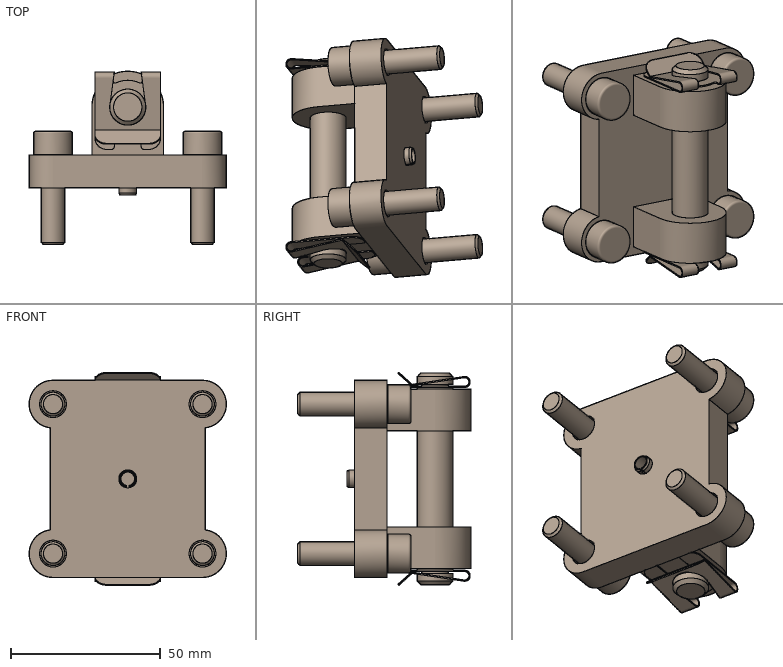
import cadquery as cq
import math

overall_height = 71.15
plate_size = 65.95
plate_thickness = 10.95
screw_offset = 25.0
boss_radius = plate_size / 2 - screw_offset
side_step = 1.0
plate_half_width = screw_offset + side_step

lug_radius = 12.0
lug_thickness = 14.0
lug_outer_z = 30.0
lug_inner_z = lug_outer_z - lug_thickness
pin_y = 27.0
lug_end_y = pin_y + lug_radius

screw_diameter = 8.0
screw_hole_diameter = 9.0
screw_tip_y = -19.0
screw_edge = 0.8
head_diameter = 13.0
head_height = 8.0
head_underside_chamfer = 0.2

sleeve_diameter = 6.0
sleeve_bore_diameter = 4.55
sleeve_slot_width = 0.8
sleeve_depth = 7.5
sleeve_protrusion = 2.5
sleeve_chamfer_length = 0.8
sleeve_chamfer_depth = 0.35

pin_diameter = 12.0
pin_half_length = 35.4
pin_chamfer = 1.3
neck_diameter = 9.0
groove_inner_z = 30.5
groove_outer_z = 31.6

clip_width = 22.0
clip_thickness = 0.4
clip_bottom_z = groove_inner_z
clip_tip_z = overall_height / 2
clip_loop_end_y = lug_end_y - 0.3
clip_loop_radius = 1.85
clip_lower_end_y = 12.8
clip_kink_y = 19.3
clip_leaf_angle = math.radians(8.6)
clip_lip_angle = math.radians(42)
clip_corner_radius = 4.0
clip_slot_corner_radius = 1.0
clip_tab_radius = 9.0
clip_tab_corner_radius = 0.7
clip_hole_radius = 6.05
clip_mouth_width = 9.0


def y_cylinder(diameter, y_start, y_end, x=0.0, z=0.0):
    """Cylinder along Y between two Y positions."""
    base = cq.Workplane("XZ", origin=(x, y_start, z))
    return base.circle(diameter / 2).extrude(y_start - y_end)


def z_cylinder(diameter, z_start, z_end):
    """Cylinder along Z on the pin axis."""
    base = cq.Workplane("XY", origin=(0, pin_y, z_start))
    return base.circle(diameter / 2).extrude(z_end - z_start)


def screw_positions():
    return [(x, z) for x in (-screw_offset, screw_offset) for z in (-screw_offset, screw_offset)]


def make_lug(z_start):
    """Rounded tongue on the back of the plate, without its pin hole."""
    return (
        cq.Workplane("XY", origin=(0, 0, z_start))
        .moveTo(-lug_radius, plate_thickness)
        .lineTo(-lug_radius, pin_y)
        .threePointArc((0, lug_end_y), (lug_radius, pin_y))
        .lineTo(lug_radius, plate_thickness)
        .close()
        .extrude(lug_thickness)
    )


def make_bracket():
    """Plate with corner bosses and two lugs, with holes for pin, screws and sleeve."""
    plate = cq.Workplane("XY").box(
        2 * plate_half_width, plate_thickness, 2 * screw_offset, centered=(True, False, True)
    )
    full_height = cq.Workplane("XY").box(
        2 * screw_offset, plate_thickness, plate_size, centered=(True, False, True)
    )
    bracket = plate.union(full_height)
    for x, z in screw_positions():
        bracket = bracket.union(y_cylinder(2 * boss_radius, 0, plate_thickness, x, z))
    for z_start in (lug_inner_z, -lug_outer_z):
        bracket = bracket.union(make_lug(z_start))
    for x, z in screw_positions():
        bracket = bracket.cut(y_cylinder(screw_hole_diameter, 0, plate_thickness, x, z))
    bracket = bracket.cut(y_cylinder(sleeve_diameter, 0, sleeve_depth))
    return bracket.cut(z_cylinder(pin_diameter, -lug_outer_z, lug_outer_z))


def make_screw(x, z):
    """Cap screw: head on the back of the plate, shank pointing to -Y."""
    head_end_y = plate_thickness + head_height
    shank = y_cylinder(screw_diameter, screw_tip_y, plate_thickness, x, z)
    shank = shank.faces("<Y").chamfer(screw_edge)
    head = y_cylinder(head_diameter, plate_thickness, head_end_y, x, z)
    head = head.faces(">Y").edges().fillet(screw_edge)
    head = head.faces("<Y").edges().chamfer(head_underside_chamfer)
    return shank.union(head)


def make_sleeve():
    """Split locating sleeve in the blind hole of the plate, standing out at the front."""
    sleeve = y_cylinder(sleeve_diameter, -sleeve_protrusion, sleeve_depth)
    sleeve = sleeve.faces("<Y").edges().chamfer(sleeve_chamfer_length, sleeve_chamfer_depth)
    sleeve = sleeve.cut(y_cylinder(sleeve_bore_diameter, -sleeve_protrusion, sleeve_depth))
    slot = cq.Workplane("XY", origin=(0, -sleeve_protrusion, -sleeve_diameter)).box(
        sleeve_slot_width, sleeve_protrusion + sleeve_depth, sleeve_diameter, centered=(True, False, False)
    )
    return sleeve.cut(slot)


def make_pin():
    """Hinge pin with a clip groove near each end."""
    pin = z_cylinder(pin_diameter, -pin_half_length, pin_half_length)
    pin = pin.faces("<Z or >Z").edges().chamfer(pin_chamfer)
    groove = z_cylinder(pin_diameter, groove_inner_z, groove_outer_z)
    groove = groove.cut(z_cylinder(neck_diameter, groove_inner_z, groove_outer_z))
    return pin.cut(groove).cut(groove.mirror("XY"))


def make_clip_strip():
    """Bent strip: lower leaf, round bend, sloping upper leaf and raised lip."""
    inner_radius = clip_loop_radius - clip_thickness
    centre_y = clip_loop_end_y - clip_loop_radius
    lower_top_z = clip_bottom_z + clip_thickness
    centre_z = clip_bottom_z + clip_loop_radius

    leaf_normal = (-math.sin(clip_leaf_angle), math.cos(clip_leaf_angle))
    lip_normal = (math.sin(clip_lip_angle), math.cos(clip_lip_angle))

    def on_bend(radius):
        """Point where the bend of this radius runs into the upper leaf."""
        return (centre_y + radius * leaf_normal[0], centre_z + radius * leaf_normal[1])

    outer_y, outer_z = on_bend(clip_loop_radius)
    kink_z = outer_z - (outer_y - clip_kink_y) * math.tan(clip_leaf_angle)
    mitre = clip_thickness / (1 + leaf_normal[0] * lip_normal[0] + leaf_normal[1] * lip_normal[1])
    kink_under = (
        clip_kink_y - mitre * (leaf_normal[0] + lip_normal[0]),
        kink_z - mitre * (leaf_normal[1] + lip_normal[1]),
    )
    tip_y = clip_kink_y - (clip_tip_z - kink_z) / math.tan(clip_lip_angle)
    tip_under = (
        tip_y - clip_thickness * lip_normal[0],
        clip_tip_z - clip_thickness * lip_normal[1],
    )

    strip = (
        cq.Workplane("YZ")
        .moveTo(clip_lower_end_y, clip_bottom_z)
        .lineTo(centre_y, clip_bottom_z)
        .threePointArc((clip_loop_end_y, centre_z), (outer_y, outer_z))
        .lineTo(clip_kink_y, kink_z)
        .lineTo(tip_y, clip_tip_z)
        .lineTo(*tip_under)
        .lineTo(*kink_under)
        .lineTo(*on_bend(inner_radius))
        .threePointArc((centre_y + inner_radius, centre_z), (centre_y, lower_top_z))
        .lineTo(clip_lower_end_y, lower_top_z)
        .close()
        .extrude(clip_width / 2, both=True)
    )
    lip_corners = cq.selectors.ParallelDirSelector(cq.Vector(0, *lip_normal))
    strip = strip.edges("|Z").fillet(clip_corner_radius)
    return strip.edges(lip_corners).fillet(clip_corner_radius)


def make_neck_slot():
    """Cutter for the lower leaf: open at the front with rounded corners, ending round at the neck."""
    slot_half = neck_diameter / 2
    flare_y = clip_lower_end_y + clip_slot_corner_radius
    flare_half = slot_half + clip_slot_corner_radius
    arc_offset = clip_slot_corner_radius * (1 - math.sqrt(0.5))
    arc_y = clip_lower_end_y + arc_offset
    arc_half = slot_half + arc_offset
    return (
        cq.Workplane("XY", origin=(0, 0, clip_bottom_z))
        .moveTo(-flare_half, clip_lower_end_y)
        .threePointArc((-arc_half, arc_y), (-slot_half, flare_y))
        .lineTo(-slot_half, pin_y)
        .threePointArc((0, pin_y + slot_half), (slot_half, pin_y))
        .lineTo(slot_half, flare_y)
        .threePointArc((arc_half, arc_y), (flare_half, clip_lower_end_y))
        .close()
        .extrude(clip_thickness)
    )


def make_wedge(z_start):
    """Tapered cutter from the pin axis back through the bend, up to the clip tip height."""
    return (
        cq.Workplane("XY", origin=(0, 0, z_start))
        .moveTo(-clip_hole_radius, pin_y)
        .lineTo(clip_hole_radius, pin_y)
        .lineTo(clip_mouth_width / 2, clip_loop_end_y)
        .lineTo(-clip_mouth_width / 2, clip_loop_end_y)
        .close()
        .extrude(clip_tip_z - z_start)
    )


def make_clip():
    """Upper spring clip, pushed over the pin neck from the back."""
    bend_slot = make_wedge(clip_bottom_z).cut(z_cylinder(2 * clip_tab_radius, clip_bottom_z, clip_tip_z))
    bend_slot = bend_slot.edges("|Z").edges("<Y").fillet(clip_tab_corner_radius)

    keyhole_z = clip_bottom_z + 2 * clip_thickness
    pin_hole = z_cylinder(2 * clip_hole_radius, keyhole_z, clip_tip_z)
    keyhole = make_wedge(keyhole_z).union(pin_hole)
    return make_clip_strip().cut(make_neck_slot()).cut(bend_slot).cut(keyhole)


bracket = make_bracket()
screws = [make_screw(x, z) for x, z in screw_positions()]
sleeve = make_sleeve()
pin = make_pin()
upper_clip = make_clip()
clips = [upper_clip, upper_clip.mirror("XY")]

bodies = [bracket, *screws, sleeve, pin, *clips]
result = cq.Compound.makeCompound([body.solids().val() for body in bodies])